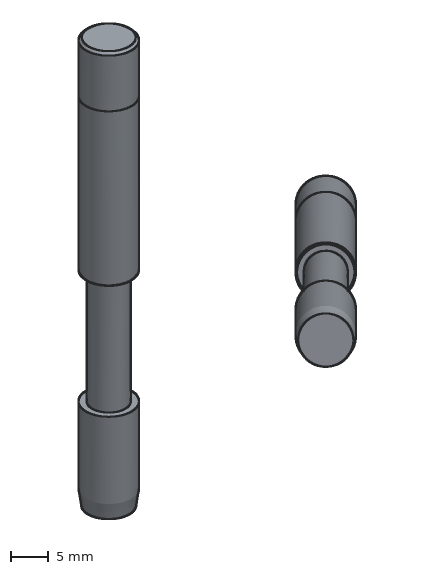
import cadquery as cq

total_length = 72.0
outer_diameter = 8.0
stem_diameter = 5.8
cap_length = 9.0
barrel_length = 27.0
stem_length = 20.0
lead_in_length = 2.5
lead_in_depth = 0.35
cap_chamfer = 0.4
barrel_chamfer = 0.2

outer_radius = outer_diameter / 2
stem_radius = stem_diameter / 2
cap_bottom = total_length - cap_length
barrel_bottom = cap_bottom - barrel_length
stem_bottom = barrel_bottom - stem_length


def make_pin():
    """Stepped pin: tapered foot, narrow stem and barrel, revolved about Z."""
    half_profile = (
        cq.Workplane("XZ")
        .moveTo(0, 0)
        .lineTo(outer_radius - lead_in_depth, 0)
        .lineTo(outer_radius, lead_in_length)
        .lineTo(outer_radius, stem_bottom)
        .lineTo(stem_radius, stem_bottom)
        .lineTo(stem_radius, barrel_bottom)
        .lineTo(outer_radius - barrel_chamfer, barrel_bottom)
        .lineTo(outer_radius, barrel_bottom + barrel_chamfer)
        .lineTo(outer_radius, cap_bottom)
        .lineTo(0, cap_bottom)
        .close()
    )
    return half_profile.revolve(360, (0, 0, 0), (0, 1, 0))


def make_cap():
    """Cylindrical cap seated flush on the barrel, chamfered at its top rim."""
    return (
        cq.Workplane("XY")
        .workplane(offset=cap_bottom)
        .circle(outer_radius)
        .extrude(cap_length)
        .faces(">Z")
        .edges()
        .chamfer(cap_chamfer)
    )


pin = make_pin()
cap = make_cap()

result = cq.Compound.makeCompound([pin.val(), cap.val()])